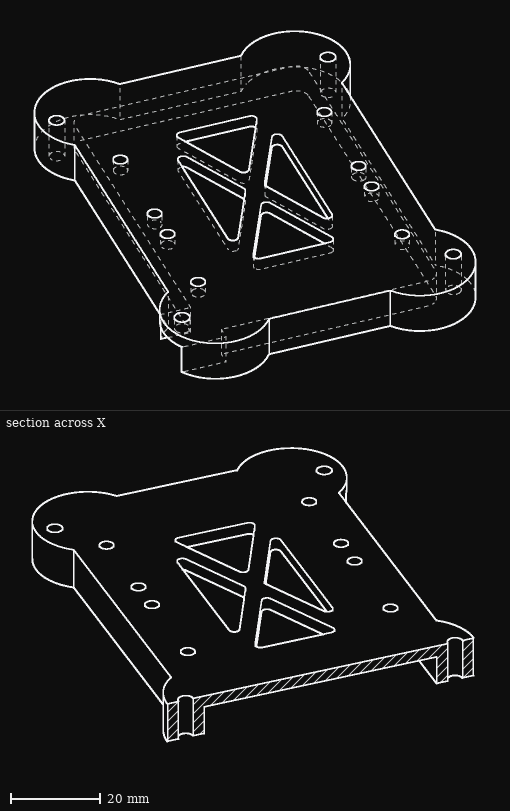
import cadquery as cq
import math

height = 10.0
roof_thickness = 3.0
wall_thickness = 4.0
cavity_corner_radius = 3.0
cavity_height = height - roof_thickness

lobe_radius = 12.5
lobe_x = 39.075
lobe_y = 24.57
body_margin = 7.5
body_length = 2 * (lobe_x + body_margin)
body_width = 2 * (lobe_y + body_margin)

lobe_hole_diameter = 3.5
lobe_hole_offset = 8.0
lobe_hole_y = lobe_y + lobe_hole_offset
roof_hole_diameter = 3.25
roof_hole_xs = (-20.4, 1.0, 9.1, 28.1)
roof_hole_y = 24.5

window_length = 50.0
window_width = 25.0
bar_width = 4.0
bar_angle = math.degrees(math.atan2(window_width, window_length))
window_corner_radius = 1.2

notch_width = 13.0


def make_body():
    """Solid outline: rectangular body with a round lobe at each corner."""
    body = cq.Workplane("XY").rect(body_length, body_width).extrude(height)
    lobes = (
        cq.Workplane("XY")
        .rect(2 * lobe_x, 2 * lobe_y, forConstruction=True)
        .vertices()
        .circle(lobe_radius)
        .extrude(height)
    )
    return body.union(lobes)


def make_cavity():
    """Space enclosed by the perimeter wall, below the roof."""
    return (
        cq.Workplane("XY")
        .rect(body_length - 2 * wall_thickness, body_width - 2 * wall_thickness)
        .extrude(cavity_height)
        .edges("|Z")
        .fillet(cavity_corner_radius)
    )


def make_notch():
    """Opening from the lobe centre out through its -Y side."""
    return (
        cq.Workplane("XY")
        .center(lobe_x, -lobe_y - lobe_radius / 2)
        .rect(notch_width, lobe_radius)
        .extrude(cavity_height)
    )


def make_holes():
    """Vertical screw holes through the lobes and the roof."""
    lobe_points = [(sx * lobe_x, sy * lobe_hole_y) for sx in (-1, 1) for sy in (-1, 1)]
    roof_points = [(x, sy * roof_hole_y) for x in roof_hole_xs for sy in (-1, 1)]
    lobe_holes = cq.Workplane("XY").pushPoints(lobe_points).circle(lobe_hole_diameter / 2)
    roof_holes = cq.Workplane("XY").pushPoints(roof_points).circle(roof_hole_diameter / 2)
    return lobe_holes.extrude(height).union(roof_holes.extrude(height))


def make_window():
    """Four triangular openings left between the diagonal bars."""
    diagonal = math.hypot(window_length, window_width)
    window = cq.Workplane("XY").rect(window_length, window_width).extrude(height)
    for turn in (-bar_angle, bar_angle):
        bar = cq.Workplane("XY").rect(2 * diagonal, bar_width).extrude(height)
        window = window.cut(bar.rotate((0, 0, 0), (0, 0, 1), turn))
    return window.edges("|Z").fillet(window_corner_radius)


result = make_body()
for opening in (make_cavity(), make_notch(), make_holes(), make_window()):
    result = result.cut(opening)